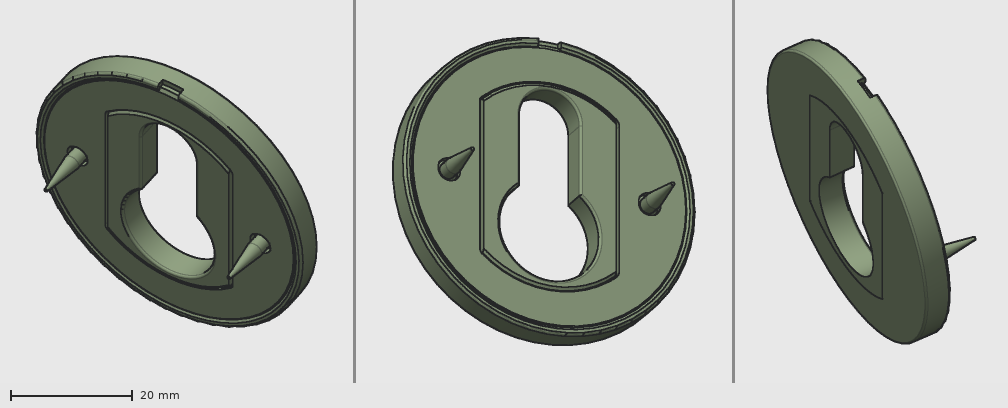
import cadquery as cq

cover_radius = 26.25
cover_thickness = 4.85
rim_fillet = 0.45
back_fillet = 0.35
pocket_radius = 25.2
pocket_depth = 1.45

lip_radius = 24.75
lip_depth = 0.3

notch_width = 4.05

plate_front = 0.2
plate_front_radius = 24.5
plate_bevel_end = 0.7
opening_radius = 18.5
opening_width = 25.1
opening_corner_radius = 1.25

insert_width = 23.85
insert_radius = 18.25
insert_front_radius = 17.75
insert_bevel_depth = 0.35

slot_radius = 5.4
slot_center_z = 11.8
barrel_radius = 8.9
barrel_center_z = -7.75
keyhole_fillet = 0.4

pin_spacing = 36.0
pin_positions = [-pin_spacing / 2, pin_spacing / 2]
pin_radius = 1.4
pin_foot_radius = 2.0
pin_foot_height = pin_foot_radius - pin_radius
pin_tip_radius = 0.29
pin_shank_end = -1.6
pin_tip_end = -9.2


def revolve_profile(points):
    """Revolve a closed (radius, y) outline about the Y axis."""
    return cq.Workplane("XY").polyline(points).close().revolve(360, (0, 0, 0), (0, 1, 0))


def disc(radius, y_start, y_end, x=0, z=0):
    """Round disc along Y, centred on (x, z)."""
    return cq.Workplane("XZ", origin=(x, y_start, z)).circle(radius).extrude(y_start - y_end)


def block(width, height, y_start, y_end, z=0):
    """Rectangular block along Y, centred on x = 0."""
    return cq.Workplane("XZ", origin=(0, y_start, z)).rect(width, height).extrude(y_start - y_end)


def flat_sided_disc(radius, width, y_start, y_end):
    """Disc with its left and right sides cut flat."""
    return disc(radius, y_start, y_end).intersect(block(width, 2 * radius, y_start, y_end))


def make_cover():
    body = disc(cover_radius, 0, cover_thickness)
    body = body.faces("<Y").edges().fillet(rim_fillet)
    body = body.faces(">Y").edges().fillet(back_fillet)

    bevel_slope = (plate_bevel_end - plate_front) / (pocket_radius - plate_front_radius)
    lip_underside = plate_front + bevel_slope * (lip_radius - plate_front_radius)
    pocket = revolve_profile([
        (0, 0),
        (pocket_radius, 0),
        (lip_radius, lip_depth),
        (lip_radius, lip_underside),
        (pocket_radius, plate_bevel_end),
        (pocket_radius, pocket_depth),
        (0, pocket_depth),
    ])
    insert_seat = flat_sided_disc(insert_radius, insert_width, pocket_depth, cover_thickness)
    notch = block(notch_width, cover_radius, 0, pocket_depth, z=cover_radius)
    return body.cut(pocket).cut(insert_seat).cut(notch)


def make_plate():
    body = revolve_profile([
        (0, plate_front),
        (plate_front_radius, plate_front),
        (pocket_radius, plate_bevel_end),
        (pocket_radius, pocket_depth),
        (0, pocket_depth),
    ])
    opening = flat_sided_disc(opening_radius, opening_width, plate_front, pocket_depth)
    opening = opening.edges("|Y").fillet(opening_corner_radius)
    body = body.cut(opening)
    for x in pin_positions:
        body = body.cut(disc(pin_foot_radius, plate_front, pocket_depth, x))
    return body


def make_insert():
    body = revolve_profile([
        (0, 0),
        (insert_front_radius, 0),
        (insert_radius, insert_bevel_depth),
        (insert_radius, cover_thickness),
        (0, cover_thickness),
    ])
    body = body.intersect(block(insert_width, 2 * insert_radius, 0, cover_thickness))

    slot_end = disc(slot_radius, 0, cover_thickness, z=slot_center_z)
    slot_length = slot_center_z - barrel_center_z
    slot_middle_z = (slot_center_z + barrel_center_z) / 2
    slot = block(2 * slot_radius, slot_length, 0, cover_thickness, slot_middle_z)
    barrel = disc(barrel_radius, 0, cover_thickness, z=barrel_center_z)
    body = body.cut(slot_end.union(slot).union(barrel))

    keyhole_wire = body.faces("<Y").val().innerWires()[0]
    return body.newObject(keyhole_wire.Edges()).fillet(keyhole_fillet)


def make_pin(x):
    pin = revolve_profile([
        (0, pocket_depth),
        (pin_foot_radius, pocket_depth),
        (pin_radius, pocket_depth - pin_foot_height),
        (pin_radius, pin_shank_end),
        (pin_tip_radius, pin_tip_end),
        (0, pin_tip_end),
    ])
    return pin.translate((x, 0, 0))


cover = make_cover()
plate = make_plate()
insert = make_insert()
pins = [make_pin(x).val() for x in pin_positions]

result = cq.Compound.makeCompound([cover.val(), plate.val(), insert.val(), *pins])